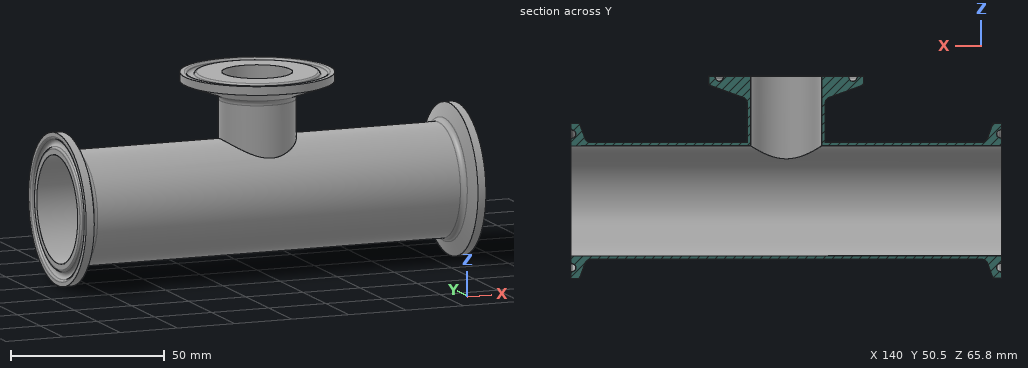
import cadquery as cq
import math

RUN_LENGTH = 140.0
RUN_OUTER_DIAMETER = 38.1
RUN_BORE_DIAMETER = 35.7
BRANCH_OUTER_DIAMETER = 25.4
BRANCH_BORE_DIAMETER = 23.0
BRANCH_FACE_HEIGHT = 40.5

FLANGE_DIAMETER = 50.5
RIM_THICKNESS = 2.85
BACK_ANGLE = 20.0
NECK_FILLET = 2.0

GROOVE_DIAMETER = 43.5
GROOVE_WIDTH = 4.0
GROOVE_RADIUS = 1.25
GROOVE_LIP_RADIUS = 0.8


def ported_tube(outer_diameter, length):
    """Solid tube along +Z from the origin, with a ferrule flange at its far end."""
    flange_radius = FLANGE_DIAMETER / 2
    tube_radius = outer_diameter / 2
    slope = math.radians(BACK_ANGLE)
    rim_back = length - RIM_THICKNESS
    cone_end = rim_back - (flange_radius - tube_radius) * math.tan(slope)

    middle_angle = (math.pi / 2 - slope) / 2
    tangent_length = NECK_FILLET * math.tan(middle_angle)
    fillet_center_radius = tube_radius + NECK_FILLET
    fillet_start = cone_end - tangent_length
    fillet_middle = (
        fillet_center_radius - NECK_FILLET * math.cos(middle_angle),
        fillet_start + NECK_FILLET * math.sin(middle_angle),
    )
    fillet_finish = (
        tube_radius + tangent_length * math.cos(slope),
        cone_end + tangent_length * math.sin(slope),
    )

    return (
        cq.Workplane("XZ")
        .lineTo(tube_radius, 0)
        .lineTo(tube_radius, fillet_start)
        .threePointArc(fillet_middle, fillet_finish)
        .lineTo(flange_radius, rim_back)
        .lineTo(flange_radius, length)
        .lineTo(0, length)
        .close()
        .revolve(360, (0, 0, 0), (0, 1, 0))
    )


def gasket_groove(face_height):
    """Ring to cut from a sealing face that lies at face_height on the Z axis."""
    middle = GROOVE_DIAMETER / 2
    half_width = GROOVE_WIDTH / 2

    radius_sum = GROOVE_RADIUS + GROOVE_LIP_RADIUS
    wall_slope = math.asin(half_width / radius_sum)
    groove_depth = radius_sum * (1 - math.cos(wall_slope))

    def lip_point(side, slope):
        """Point of the lip arc with the given slope, on the outer (1) or inner (-1) side."""
        return (
            middle + side * (half_width - GROOVE_LIP_RADIUS * math.sin(slope)),
            face_height - GROOVE_LIP_RADIUS * (1 - math.cos(slope)),
        )

    return (
        cq.Workplane("XZ")
        .moveTo(*lip_point(-1, 0))
        .threePointArc(lip_point(-1, wall_slope / 2), lip_point(-1, wall_slope))
        .threePointArc((middle, face_height - groove_depth), lip_point(1, wall_slope))
        .threePointArc(lip_point(1, wall_slope / 2), lip_point(1, 0))
        .close()
        .revolve(360, (0, 0, 0), (0, 1, 0))
    )


def along_run(shape, direction):
    """Turn a shape built along +Z to point along +X (1) or -X (-1)."""
    return shape.rotate((0, 0, 0), (0, 1, 0), 90 * direction)


def bore(diameter, length):
    """Cylinder along +Z from the origin, to cut the passage of one port."""
    return cq.Workplane("XY").circle(diameter / 2).extrude(length)


half_run = RUN_LENGTH / 2

body = ported_tube(BRANCH_OUTER_DIAMETER, BRANCH_FACE_HEIGHT)
for side in (1, -1):
    body = body.union(along_run(ported_tube(RUN_OUTER_DIAMETER, half_run), side))

result = body.cut(bore(BRANCH_BORE_DIAMETER, BRANCH_FACE_HEIGHT))
result = result.cut(gasket_groove(BRANCH_FACE_HEIGHT))
for side in (1, -1):
    result = result.cut(along_run(bore(RUN_BORE_DIAMETER, half_run), side))
    result = result.cut(along_run(gasket_groove(half_run), side))